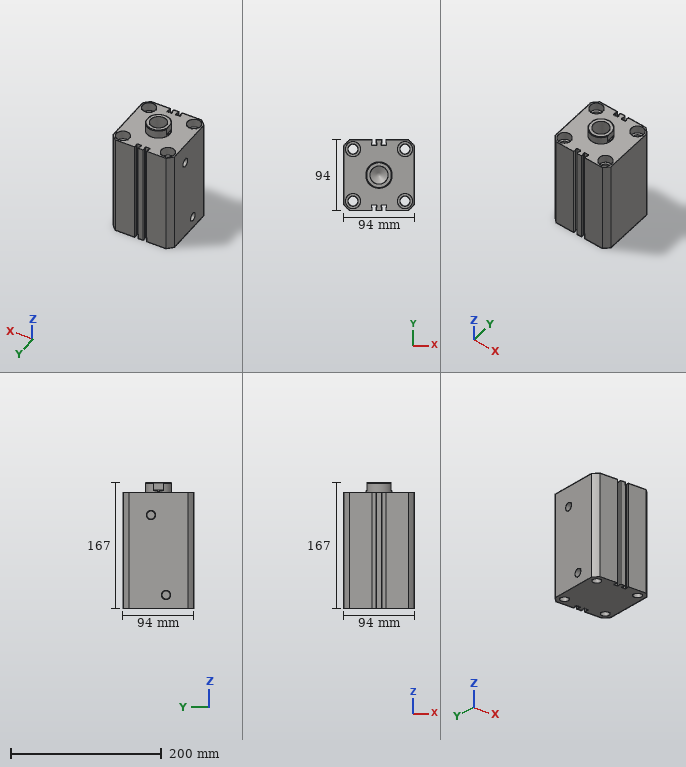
import cadquery as cq
import math

total_height = 167.0
body_width = 94.0
body_height = 154.0
corner_diameter = 121.9

hole_pitch = 69.0
hole_diameter = 13.0
counterbore_diameter = 20.0
counterbore_depth = 13.0

slot_pitch = 13.0
slot_mouth_width = 5.3
slot_inner_width = 6.5
slot_lip_depth = 4.2
slot_depth = 7.3

port_mouth_diameter = 12.2
port_taper = 1 / 16
port_depth = 21.7
port_offset = 10.0
upper_port_drop = 29.9
lower_port_height = 18.0

rod_diameter = 35.0
rod_length = 66.8
rod_chamfer = 1.0
flat_width = 32.2
flat_length = 10.0
rod_hole_diameter = 24.0
rod_hole_depth = 33.4
drill_point_angle = 118.0

rod_bottom = total_height - rod_length


def cut_slots(housing):
    """Each slot is a narrow mouth followed by a wider inner channel, full height."""
    for side in (-1, 1):
        for slot_x in (-slot_pitch / 2, slot_pitch / 2):
            for width, start, end in (
                (slot_mouth_width, 0, slot_lip_depth),
                (slot_inner_width, slot_lip_depth, slot_depth),
            ):
                middle_y = side * (body_width / 2 - (start + end) / 2)
                groove = (
                    cq.Workplane("XY")
                    .center(slot_x, middle_y)
                    .rect(width, end - start)
                    .extrude(body_height)
                )
                housing = housing.cut(groove)
    return housing


def port_cutter(port_y, port_z):
    """Blind tapered port with a flat floor, entering from the -X face."""
    mouth_radius = port_mouth_diameter / 2
    floor_radius = mouth_radius - port_taper * port_depth / 2
    return (
        cq.Workplane("XY", origin=(-body_width / 2, port_y, port_z))
        .lineTo(0, mouth_radius)
        .lineTo(port_depth, floor_radius)
        .lineTo(port_depth, 0)
        .close()
        .revolve(360, (0, 0), (1, 0))
    )


def make_housing():
    envelope = cq.Workplane("XY").circle(corner_diameter / 2).extrude(body_height)
    housing = cq.Workplane("XY").rect(body_width, body_width).extrude(body_height).intersect(envelope)
    housing = (
        housing.faces(">Z")
        .workplane(origin=(0, 0, body_height))
        .rect(hole_pitch, hole_pitch, forConstruction=True)
        .vertices()
        .cboreHole(hole_diameter, counterbore_diameter, counterbore_depth)
    )
    housing = cut_slots(housing)
    housing = housing.cut(port_cutter(port_offset, body_height - upper_port_drop))
    housing = housing.cut(port_cutter(-port_offset, lower_port_height))
    rod_recess = (
        cq.Workplane("XY", origin=(0, 0, rod_bottom))
        .circle(rod_diameter / 2)
        .extrude(rod_length)
    )
    return housing.cut(rod_recess)


def flat_cutter(side):
    """Wedge that cuts one wrench flat and its 45 degree run-out; side is -1 or +1."""
    flat_x = side * flat_width / 2
    cut_depth = rod_diameter / 2 - flat_width / 2
    outer_x = side * rod_diameter / 2
    flat_bottom = total_height - flat_length
    return (
        cq.Workplane("XZ")
        .moveTo(flat_x, total_height)
        .lineTo(flat_x, flat_bottom)
        .lineTo(outer_x, flat_bottom - cut_depth)
        .lineTo(outer_x, total_height)
        .close()
        .extrude(rod_diameter / 2, both=True)
    )


def make_rod():
    rod = (
        cq.Workplane("XY", origin=(0, 0, rod_bottom))
        .circle(rod_diameter / 2)
        .extrude(rod_length)
        .faces(">Z")
        .chamfer(rod_chamfer)
    )
    for side in (-1, 1):
        rod = rod.cut(flat_cutter(side))
    hole_radius = rod_hole_diameter / 2
    hole_bottom = total_height - rod_hole_depth
    point_depth = hole_radius / math.tan(math.radians(drill_point_angle / 2))
    tapped_hole = (
        cq.Workplane("XZ")
        .moveTo(0, total_height)
        .lineTo(hole_radius, total_height)
        .lineTo(hole_radius, hole_bottom)
        .lineTo(0, hole_bottom - point_depth)
        .close()
        .revolve(360, (0, 0), (0, 1))
    )
    return rod.cut(tapped_hole)


housing = make_housing()
rod = make_rod()
result = cq.Compound.makeCompound([housing.solids().val(), rod.solids().val()])